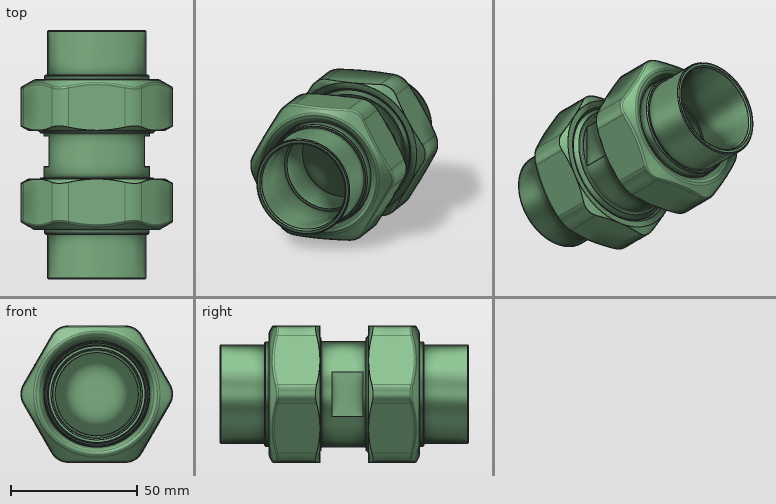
import cadquery as cq
import math


total_length = 98.5

nut_inner_y = 9.7
nut_outer_y = 29.7
nut_flats = 54.1
nut_corner_radius = 7.6
nut_chamfer_angle = 30.0
outer_chamfer_radius = 24.6
outer_face_rounding = 2.0
outer_hex_rounding = 1.0
nut_hole_diameter = 42.0
lip_depth = 4.4
lead_in_mouth_radius = 24.0
lead_in_rounding = 2.0
lead_in_angle = 45.0
bore_chamfer = 0.8

body_end_diameter = 47.6
shoulder_diameter = 44.5
waist_diameter = 42.0
waist_center_y = -0.3
waist_half_length = 9.0
waist_fillet = 0.5
body_bore_diameter = 33.0
body_wall_thickness = 5.9
wrench_flat_center_y = 1.3
wrench_flat_length = 12.1
wrench_flats = 38.0

pipe_diameter = 39.1
pipe_bore_diameter = 35.1
pipe_outer_chamfer = 0.4
pipe_bore_chamfer = 0.6
collar_diameter = 41.5
collar_end_y = 31.6
collar_chamfer = 0.5
flange_thickness = 3.9

pipe_end_y = total_length / 2
nut_corner_distance = nut_flats / math.cos(math.radians(30))
lip_y = nut_outer_y - lip_depth
body_end_y = lip_y - flange_thickness
body_end_radius = body_end_diameter / 2


def revolve_about_y(profile):
    """Full turn of a closed profile drawn as (radius, y)."""
    return profile.close().revolve(360, (0, 0, 0), (0, 1, 0))


def cylinder_along_y(radius, start_y, end_y):
    return cq.Workplane("XZ", origin=(0, start_y, 0)).circle(radius).extrude(start_y - end_y)


def make_hexagon():
    return (
        cq.Workplane("XZ", origin=(0, nut_inner_y, 0))
        .polygon(6, nut_corner_distance)
        .extrude(nut_inner_y - nut_outer_y)
        .edges("|Y")
        .fillet(nut_corner_radius)
    )


def make_chamfer_envelope():
    """Turned blank whose cones chamfer both ends of the hexagon."""
    slope = math.tan(math.radians(nut_chamfer_angle))
    rim_radius = nut_corner_distance / 2
    inner_face_radius = nut_flats / 2
    inner_drop = (rim_radius - inner_face_radius) * slope
    outer_drop = (rim_radius - outer_chamfer_radius) * slope
    return revolve_about_y(
        cq.Workplane("XY")
        .moveTo(0, nut_inner_y)
        .lineTo(inner_face_radius, nut_inner_y)
        .lineTo(rim_radius, nut_inner_y + inner_drop)
        .lineTo(rim_radius, nut_outer_y - outer_drop)
        .lineTo(outer_chamfer_radius, nut_outer_y)
        .lineTo(0, nut_outer_y)
    )


def lead_in_arc_point(turn):
    """Point (radius, y) on the rounding of the nut hole, a given turn inward from the outer face."""
    return (
        lead_in_mouth_radius - lead_in_rounding * math.sin(turn),
        nut_outer_y - lead_in_rounding * (1 - math.cos(turn)),
    )


def make_nut_bore():
    """Bore for the body end, lip hole, and the rounded conical lead-in at the outer face."""
    hole_radius = nut_hole_diameter / 2
    full_turn = math.radians(lead_in_angle)
    arc_middle = lead_in_arc_point(full_turn / 2)
    arc_end = lead_in_arc_point(full_turn)
    cone_length = (arc_end[0] - hole_radius) / math.tan(full_turn)
    lead_in_bottom_y = arc_end[1] - cone_length
    return revolve_about_y(
        cq.Workplane("XY")
        .moveTo(0, nut_inner_y)
        .lineTo(body_end_radius + bore_chamfer, nut_inner_y)
        .lineTo(body_end_radius, nut_inner_y + bore_chamfer)
        .lineTo(body_end_radius, lip_y)
        .lineTo(hole_radius, lip_y)
        .lineTo(hole_radius, lead_in_bottom_y)
        .lineTo(*arc_end)
        .threePointArc(arc_middle, (lead_in_mouth_radius, nut_outer_y))
        .lineTo(0, nut_outer_y)
    )


def make_nut():
    """Nut on the +Y end."""
    blank = make_hexagon().intersect(make_chamfer_envelope())
    blank = blank.faces(">Y").edges().fillet(outer_face_rounding)

    middle_y = (nut_inner_y + nut_outer_y) / 2
    chamfer_edges = [
        edge
        for edge in blank.edges("not |Y").vals()
        if edge.Center().y > middle_y and edge.geomType() != "CIRCLE"
    ]
    blank = blank.newObject(chamfer_edges).fillet(outer_hex_rounding)
    return blank.cut(make_nut_bore())


def make_tail_pipe():
    """Tail pipe on the +Y end, with its collar and clamped flange."""
    pipe_radius = pipe_diameter / 2
    bore_radius = pipe_bore_diameter / 2
    collar_radius = collar_diameter / 2
    return revolve_about_y(
        cq.Workplane("XY")
        .moveTo(bore_radius, body_end_y)
        .lineTo(body_end_radius, body_end_y)
        .lineTo(body_end_radius, lip_y)
        .lineTo(collar_radius, lip_y)
        .lineTo(collar_radius, collar_end_y - collar_chamfer)
        .lineTo(collar_radius - collar_chamfer, collar_end_y)
        .lineTo(pipe_radius, collar_end_y)
        .lineTo(pipe_radius, pipe_end_y - pipe_outer_chamfer)
        .lineTo(pipe_radius - pipe_outer_chamfer, pipe_end_y)
        .lineTo(bore_radius + pipe_bore_chamfer, pipe_end_y)
        .lineTo(bore_radius, pipe_end_y - pipe_bore_chamfer)
    )


def make_waist_groove():
    """Ring that is turned away to leave the waist between the two body ends."""
    waist_radius = waist_diameter / 2
    shoulder_radius = shoulder_diameter / 2
    cone_length = body_end_radius - shoulder_radius
    arc_offset = waist_fillet * (1 - math.sqrt(0.5))
    half = waist_half_length
    half_groove = revolve_about_y(
        cq.Workplane("XY")
        .moveTo(waist_radius, 0)
        .lineTo(waist_radius, half - waist_fillet)
        .threePointArc(
            (waist_radius + arc_offset, half - arc_offset),
            (waist_radius + waist_fillet, half),
        )
        .lineTo(shoulder_radius, half)
        .lineTo(body_end_radius, half + cone_length)
        .lineTo(body_end_radius, 0)
    )
    return half_groove.union(half_groove.mirror("XZ")).translate((0, waist_center_y, 0))


def make_body():
    body = cylinder_along_y(body_end_radius, -body_end_y, body_end_y).cut(make_waist_groove())

    for side in (-1, 1):
        body = body.cut(
            cylinder_along_y(body_bore_diameter / 2, side * body_wall_thickness / 2, side * body_end_y)
        )

    flat_depth = body_end_radius - wrench_flats / 2
    for side in (-1, 1):
        flat_center_x = side * (wrench_flats + flat_depth) / 2
        body = body.cut(
            cq.Workplane("XY")
            .box(flat_depth, wrench_flat_length, body_end_diameter)
            .translate((flat_center_x, wrench_flat_center_y, 0))
        )
    return body


def both_ends(part):
    """Solids of a +Y end part and of its mirror copy on the -Y end."""
    return [end_part.solids().val() for end_part in (part, part.mirror("XZ"))]


body = make_body()
nuts = both_ends(make_nut())
tail_pipes = both_ends(make_tail_pipe())

result = cq.Compound.makeCompound([body.solids().val(), *nuts, *tail_pipes])